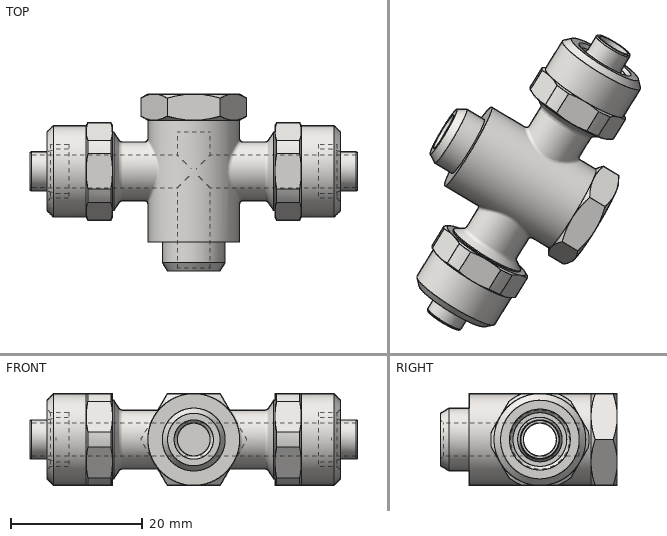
import cadquery as cq
import math


hex_flats = 14.0
hex_corner_radius = hex_flats / 2 / math.cos(math.pi / 6)
body_radius = hex_flats / 2
part_depth = 27.0
head_top = 11.8
head_height = 4.0
body_bottom = -10.8
head_bottom = head_top - head_height
bolt_tip = head_top - part_depth
bolt_radius = 4.8
bolt_tip_radius = 4.0
bolt_chamfer_length = 1.3
bore_radius = 2.5
bolt_mouth_chamfer = 0.5
bolt_bore_end = 6.0
head_bevel_angle = 30.0

arm_length = 25.0
arm_radius = 4.5
arm_fillet = 0.5
spigot_radius = 3.0
spigot_chamfer_length = 0.25
spigot_chamfer_depth = 0.1
barb_radius = 3.4
barb_start = 22.3
barb_end = 21.0
collar_radius = 6.0
collar_start = 12.2
neck_end = 11.2
neck_fillet = 0.6

nut_inner_end = 12.4
nut_hex_end = 16.4
nut_outer_end = 22.4
sleeve_radius = hex_flats / 2
nut_corner_radius = 7.5
nut_edge_chamfer = 0.25
nut_rim_chamfer = 1.0
nut_throat_radius = 4.1
nut_mouth_chamfer = 0.55
nut_pocket_floor = 19.0


def revolve_about_x(points):
    """Turn an (x, radius) outline about the X axis."""
    return cq.Workplane("XY").polyline(points).close().revolve(360, (0, 0, 0), (1, 0, 0))


def revolve_about_y(points):
    """Turn a (radius, y) outline about the Y axis."""
    return cq.Workplane("XY").polyline(points).close().revolve(360, (0, 0, 0), (0, 1, 0))


def make_head():
    """Hexagon head with both faces bevelled down to a circle inside the flats."""
    bevel = (hex_corner_radius - body_radius) * math.tan(math.radians(head_bevel_angle))
    hexagon = (
        cq.Workplane("XZ", origin=(0, head_top, 0))
        .polygon(6, 2 * hex_corner_radius)
        .extrude(head_height)
    )
    envelope = revolve_about_y([
        (0, head_top),
        (body_radius, head_top),
        (hex_corner_radius, head_top - bevel),
        (hex_corner_radius, head_bottom + bevel),
        (body_radius, head_bottom),
        (0, head_bottom),
    ])
    return hexagon.intersect(envelope)


def make_bolt_end():
    """Chamfered stud below the body."""
    return revolve_about_y([
        (0, body_bottom),
        (bolt_radius, body_bottom),
        (bolt_radius, bolt_tip + bolt_chamfer_length),
        (bolt_tip_radius, bolt_tip),
        (0, bolt_tip),
    ])


def make_bolt_bore():
    """Blind bore from the chamfered stud tip up past the arm bore."""
    mouth_radius = bore_radius + bolt_mouth_chamfer
    return revolve_about_y([
        (0, bolt_tip),
        (mouth_radius, bolt_tip),
        (bore_radius, bolt_tip + bolt_mouth_chamfer),
        (bore_radius, bolt_bore_end),
        (0, bolt_bore_end),
    ])


def make_body():
    """Banjo body with the two arm stubs blended into it."""
    barrel = (
        cq.Workplane("XZ", origin=(0, head_bottom, 0))
        .circle(body_radius)
        .extrude(head_bottom - body_bottom)
    )
    stubs = (
        cq.Workplane("YZ", origin=(-neck_end, 0, 0))
        .circle(arm_radius)
        .extrude(2 * neck_end)
    )
    body = barrel.union(stubs)
    joint_zone = cq.selectors.BoxSelector(
        (-body_radius, -arm_radius, -arm_radius),
        (body_radius, arm_radius, arm_radius),
    )
    return body.edges(joint_zone).fillet(arm_fillet)


def make_arm_core():
    """Neck cone, collar, barb and spigot of the arm on the +X side."""
    neck_start = body_radius + arm_fillet
    core = revolve_about_x([
        (neck_start, 0),
        (neck_start, arm_radius),
        (neck_end, arm_radius),
        (collar_start, collar_radius),
        (nut_pocket_floor, collar_radius),
        (nut_pocket_floor, barb_radius),
        (barb_end, barb_radius),
        (barb_start, spigot_radius),
        (arm_length - spigot_chamfer_length, spigot_radius),
        (arm_length, spigot_radius - spigot_chamfer_depth),
        (arm_length, 0),
    ])
    neck_corner = cq.selectors.NearestToPointSelector((neck_end, 0, 0))
    return core.edges("%CIRCLE").edges(neck_corner).fillet(neck_fillet)


def make_nut():
    """Union nut of the arm on the +X side: hexagon with turned corners and a round sleeve."""
    hexagon = (
        cq.Workplane("YZ", origin=(nut_inner_end, 0, 0))
        .polygon(6, 2 * hex_corner_radius)
        .extrude(nut_hex_end - nut_inner_end)
    )
    envelope = revolve_about_x([
        (nut_inner_end, 0),
        (nut_inner_end, sleeve_radius),
        (nut_inner_end + nut_edge_chamfer, nut_corner_radius),
        (nut_hex_end - nut_edge_chamfer, nut_corner_radius),
        (nut_hex_end, sleeve_radius),
        (nut_hex_end, 0),
    ])
    sleeve = revolve_about_x([
        (nut_hex_end, 0),
        (nut_hex_end, sleeve_radius),
        (nut_outer_end - nut_rim_chamfer, sleeve_radius),
        (nut_outer_end, sleeve_radius - nut_rim_chamfer),
        (nut_outer_end, 0),
    ])
    mouth = revolve_about_x([
        (nut_pocket_floor, 0),
        (nut_pocket_floor, nut_throat_radius),
        (nut_outer_end - nut_mouth_chamfer, nut_throat_radius),
        (nut_outer_end, nut_throat_radius + nut_mouth_chamfer),
        (nut_outer_end, 0),
    ])
    return hexagon.intersect(envelope).union(sleeve).cut(mouth)


def make_arm_bore():
    """Straight passage through both arms and the bolt."""
    return (
        cq.Workplane("YZ", origin=(-arm_length, 0, 0))
        .circle(bore_radius)
        .extrude(2 * arm_length)
    )


result = make_body().union(make_head()).union(make_bolt_end())
arm = make_arm_core().union(make_nut())
for side_arm in (arm, arm.mirror("YZ")):
    result = result.union(side_arm)
result = result.cut(make_arm_bore()).cut(make_bolt_bore())